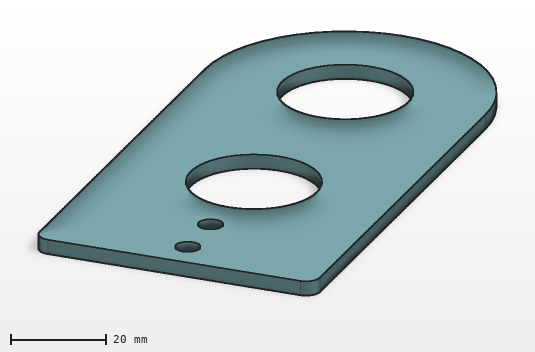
import cadquery as cq

length = 127.0
width = 63.5
thickness = 3.3
corner_radius = 3.2
large_diameter = 28.6
large_spacing = 50.8
small_diameter = 5.3
small_edge_distance = 7.6
small_spacing = 12.7

end_radius = width / 2
arc_center_y = length - end_radius

plate = (
    cq.Workplane("XY")
    .moveTo(-end_radius, 0)
    .lineTo(end_radius, 0)
    .lineTo(end_radius, arc_center_y)
    .threePointArc((0, length), (-end_radius, arc_center_y))
    .close()
    .extrude(thickness)
)

square_end_corners = plate.faces("<Y").edges("|Z")
plate = square_end_corners.fillet(corner_radius)


def through_holes(diameter, y_positions):
    """Cylinders on the centre line that pass through the plate."""
    centers = [(0, y) for y in y_positions]
    return cq.Workplane("XY").pushPoints(centers).circle(diameter / 2).extrude(thickness)


large_holes = through_holes(large_diameter, [arc_center_y, arc_center_y - large_spacing])
small_holes = through_holes(
    small_diameter, [small_edge_distance, small_edge_distance + small_spacing]
)

result = plate.cut(large_holes).cut(small_holes)